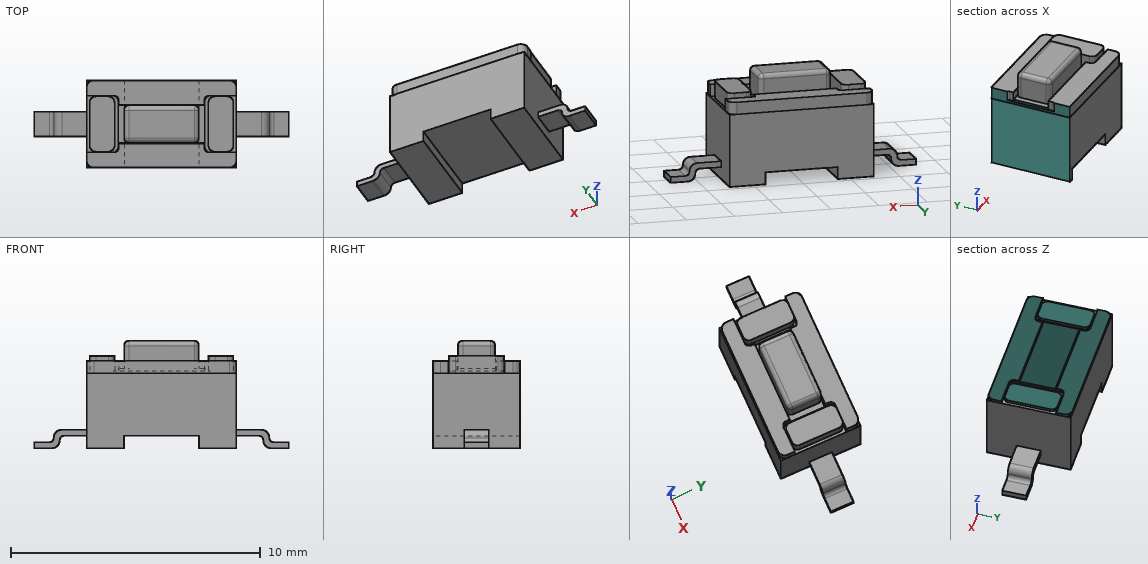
import cadquery as cq

BODY_LENGTH = 6.0
BODY_WIDTH = 3.5
BODY_HEIGHT = 3.0
FOOT_GAP = BODY_LENGTH / 2
FOOT_HEIGHT = 0.5

BOSS_LENGTH = 1.0
BOSS_WIDTH = 2.2
BOSS_HEIGHT = 0.7
BOSS_RADIUS = 0.24
BOSS_END_GAP = 0.12
BOSS_X = BODY_LENGTH / 2 - BOSS_END_GAP - BOSS_LENGTH / 2

COVER_THICKNESS = 0.5
COVER_RADIUS = 0.3
WEB_THICKNESS = 0.1
WEB_LENGTH = 3.48
CLEARANCE = 0.03
NOTCH_WIDTH = 2.26
NOTCH_RADIUS = 0.19

BUTTON_LENGTH = 3.0
BUTTON_WIDTH = 1.5
BUTTON_RADIUS = 0.19
BUTTON_BASE_Z = BODY_HEIGHT + WEB_THICKNESS
FLANGE_HEIGHT = 0.1
TOTAL_HEIGHT = 4.3
CHANNEL_WIDTH = BUTTON_WIDTH + 2 * CLEARANCE

LEAD_SPAN = 10.2
LEAD_WIDTH = 1.0
LEAD_THICKNESS = 0.24
LEAD_RISE = 0.5
LEAD_FOOT = 0.6
BEND_INNER = 0.18
BEND_OUTER = LEAD_RISE - BEND_INNER


def block(length, width, height, base_z, x=0):
    """Box centred in Y and standing on base_z."""
    return cq.Workplane("XY").box(length, width, height, (True, True, False)).translate((x, 0, base_z))


def make_housing():
    channel = block(FOOT_GAP, BODY_WIDTH, FOOT_HEIGHT, 0)
    housing = block(BODY_LENGTH, BODY_WIDTH, BODY_HEIGHT, 0).cut(channel)
    for side in (-1, 1):
        boss = block(BOSS_LENGTH, BOSS_WIDTH, BOSS_HEIGHT, BODY_HEIGHT, side * BOSS_X)
        housing = housing.union(boss.edges("|Z").fillet(BOSS_RADIUS))
    return housing


def make_button():
    stem = block(BUTTON_LENGTH, BUTTON_WIDTH, TOTAL_HEIGHT - BUTTON_BASE_Z, BUTTON_BASE_Z)
    stem = stem.edges("|Z or >Z").fillet(BUTTON_RADIUS)
    flange = block(WEB_LENGTH, BUTTON_WIDTH, FLANGE_HEIGHT, BUTTON_BASE_Z)
    return stem.union(flange)


def make_notch(side, gap, base_z):
    """Cutter from base_z upward, from the end of the cover to half the gap between notches."""
    depth = (BODY_LENGTH - gap) / 2
    centre_x = side * (BODY_LENGTH - depth) / 2
    notch = block(depth, NOTCH_WIDTH, COVER_THICKNESS, base_z, centre_x)
    inner_face = "<X" if side > 0 else ">X"
    return notch.faces(inner_face).edges("|Z").fillet(NOTCH_RADIUS)


def make_cover():
    cover = block(BODY_LENGTH, BODY_WIDTH, COVER_THICKNESS, BODY_HEIGHT)
    cover = cover.edges("|Z").fillet(COVER_RADIUS)
    web_top = BODY_HEIGHT + WEB_THICKNESS
    for side in (-1, 1):
        cover = cover.cut(make_notch(side, WEB_LENGTH, BODY_HEIGHT))
        cover = cover.cut(make_notch(side, WEB_LENGTH - 2 * CLEARANCE, web_top))
    channel = block(WEB_LENGTH, CHANNEL_WIDTH, COVER_THICKNESS, web_top)
    return cover.cut(channel)


def make_lead(side):
    tip = LEAD_SPAN / 2
    wall = BODY_LENGTH / 2
    top = LEAD_RISE + LEAD_THICKNESS
    upper_bend_start = tip - LEAD_FOOT
    upper_riser = upper_bend_start - BEND_INNER
    upper_bend_end = upper_bend_start - LEAD_RISE
    lower_riser = upper_riser - LEAD_THICKNESS
    lower_bend_start = lower_riser - BEND_INNER
    lower_bend_end = lower_riser + BEND_OUTER
    profile = (
        cq.Workplane("XZ")
        .moveTo(tip, 0)
        .lineTo(tip, LEAD_THICKNESS)
        .lineTo(upper_bend_start, LEAD_THICKNESS)
        .radiusArc((upper_riser, LEAD_THICKNESS + BEND_INNER), BEND_INNER)
        .radiusArc((upper_bend_end, top), -BEND_OUTER)
        .lineTo(wall, top)
        .lineTo(wall, LEAD_RISE)
        .lineTo(lower_bend_start, LEAD_RISE)
        .radiusArc((lower_riser, BEND_OUTER), BEND_INNER)
        .radiusArc((lower_bend_end, 0), -BEND_OUTER)
        .close()
    )
    lead = profile.extrude(LEAD_WIDTH / 2, both=True)
    return lead if side > 0 else lead.mirror("YZ")


housing = make_housing()
button = make_button()
cover = make_cover()
leads = [make_lead(side) for side in (-1, 1)]

result = cq.Compound.makeCompound([
    housing.val(),
    cover.val(),
    button.val(),
    *[lead.val() for lead in leads],
])